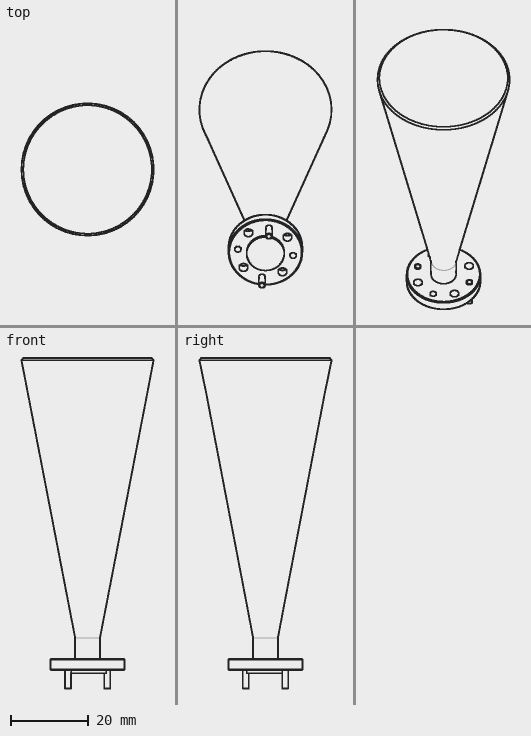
import cadquery as cq
import math

total_height = 85.15
mouth_radius = 17.0
mouth_chamfer_width = 0.5
mouth_chamfer_height = 0.6

boss_bottom = 4.0
boss_radius = 4.85
flange_bottom = 4.8
flange_top = 7.8
flange_radius = 9.5
flange_chamfer = 0.25
neck_radius = 3.2
neck_top = 13.2

hole_circle_radius = 7.15
screw_hole_diameter = 2.2
dowel_diameter = 1.6
dowel_chamfer = 0.2
screw_angles = (0, 90, 180, 270)
pin_angles = (45, 225)
open_dowel_angles = (135, 315)


def circle_point(angle):
    """Point on the hole circle at an angle in degrees from +X."""
    turn = math.radians(angle)
    return hole_circle_radius * math.cos(turn), hole_circle_radius * math.sin(turn)


def make_horn():
    """Solid cone, neck, flange and boss turned as one body, with the flange holes cut through."""
    profile = [
        (0, boss_bottom),
        (-boss_radius, boss_bottom),
        (-boss_radius, flange_bottom),
        (-flange_radius + flange_chamfer, flange_bottom),
        (-flange_radius, flange_bottom + flange_chamfer),
        (-flange_radius, flange_top - flange_chamfer),
        (-flange_radius + flange_chamfer, flange_top),
        (-neck_radius, flange_top),
        (-neck_radius, neck_top),
        (-mouth_radius, total_height - mouth_chamfer_height),
        (-mouth_radius + mouth_chamfer_width, total_height),
        (0, total_height),
    ]
    body = cq.Workplane("XZ").polyline(profile).close().revolve(360, (0, 0), (0, 1))
    body = cut_flange_holes(body, screw_angles, screw_hole_diameter)
    return cut_flange_holes(body, pin_angles + open_dowel_angles, dowel_diameter)


def cut_flange_holes(body, angles, diameter):
    """Cut round holes through the flange only, at the given angles."""
    holes = (
        cq.Workplane("XY", origin=(0, 0, flange_bottom))
        .pushPoints([circle_point(angle) for angle in angles])
        .circle(diameter / 2)
        .extrude(flange_top - flange_bottom)
    )
    return body.cut(holes)


def make_dowel_pin(angle):
    """Dowel pin with chamfered ends, standing below the flange and flush with its top."""
    x, y = circle_point(angle)
    pin = cq.Workplane("XY").center(x, y).circle(dowel_diameter / 2).extrude(flange_top)
    return pin.faces("<Z or >Z").chamfer(dowel_chamfer)


horn = make_horn()
dowel_pins = [make_dowel_pin(angle) for angle in pin_angles]

result = cq.Compound.makeCompound([horn.val(), *[pin.val() for pin in dowel_pins]])